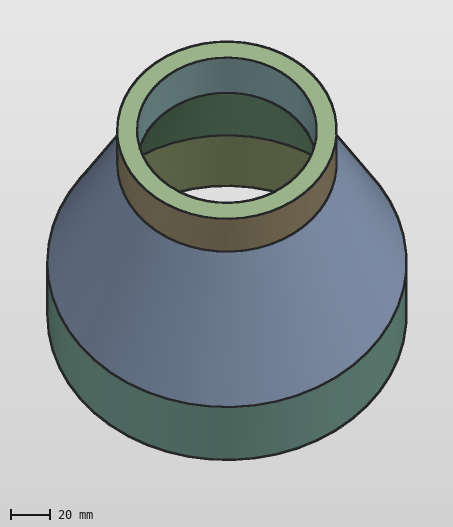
import cadquery as cq
import math

large_diameter = 180.0
small_diameter = 110.0
small_bore_diameter = 90.0

total_height = 157.0
large_collar_height = 45.0
small_collar_height = 27.9

wall = (small_diameter - small_bore_diameter) / 2
large_bore_diameter = large_diameter - 2 * wall
cone_bottom = large_collar_height
cone_top = total_height - small_collar_height

cone_half_angle = math.atan2((large_diameter - small_diameter) / 2, cone_top - cone_bottom)
bend_drop = wall * math.tan(cone_half_angle / 2)


def stepped_cone(lower_diameter, upper_diameter, lower_bend, upper_bend):
    """Solid of revolution: large cylinder, cone between the bends, small cylinder."""
    lower_radius = lower_diameter / 2
    upper_radius = upper_diameter / 2
    profile = (
        cq.Workplane("XZ")
        .moveTo(0, 0)
        .lineTo(lower_radius, 0)
        .lineTo(lower_radius, lower_bend)
        .lineTo(upper_radius, upper_bend)
        .lineTo(upper_radius, total_height)
        .lineTo(0, total_height)
        .close()
    )
    return profile.revolve(360, (0, 0), (0, 1))


outer_body = stepped_cone(large_diameter, small_diameter, cone_bottom, cone_top)
passage = stepped_cone(
    large_bore_diameter,
    small_bore_diameter,
    cone_bottom - bend_drop,
    cone_top - bend_drop,
)

result = outer_body.cut(passage)